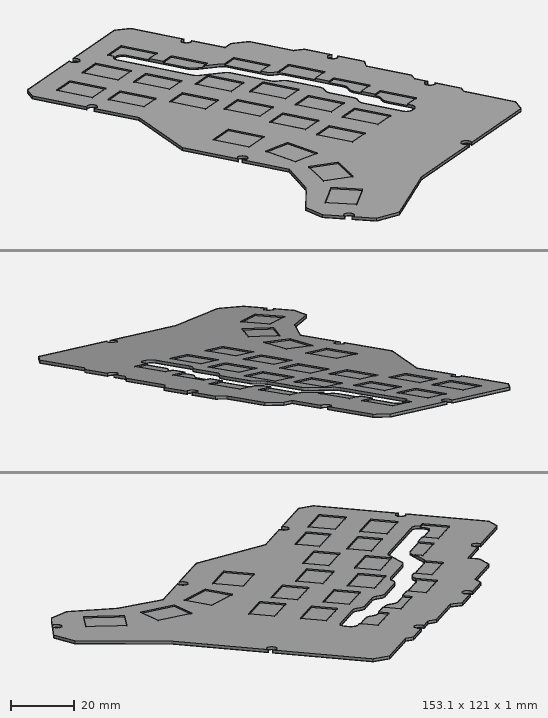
import cadquery as cq

thickness = 1.0
pocket_depth = 0.5

plate_right = 145.0
corner = 3.8
left_block_bottom = 44.9
left_block_top = 110.2
left_block_right = 37.8
ring_finger_top = 118.3
middle_finger_top = 121.0
index_finger_top = 117.7
inner_top = 115.6
right_top = 113.6
upper_corner = 4.3
palm_edge = 29.0
thumb_tip_x = 153.1

outline = [
    (0, left_block_bottom + corner),
    (0, left_block_top - corner),
    (corner, left_block_top),
    (left_block_right, left_block_top),
    (left_block_right, ring_finger_top - upper_corner),
    (left_block_right + upper_corner, ring_finger_top),
    (58.0, ring_finger_top),
    (60.6, middle_finger_top),
    (82.2, middle_finger_top),
    (84.7, index_finger_top),
    (100.9, index_finger_top),
    (103.2, inner_top),
    (120.0, inner_top),
    (122.0, right_top),
    (plate_right - upper_corner, right_top),
    (plate_right, right_top - upper_corner),
    (plate_right, 43.2),
    (thumb_tip_x, 13.6),
    (149.3, 5.5),
    (132.7, 0),
    (125.0, 2.9),
    (117.4, 17.5),
    (105.0, palm_edge),
    (66.6, palm_edge),
    (42.3, left_block_bottom),
    (corner, left_block_bottom),
]

notch_radius = 1.7
notch_centers = [
    (1.2, 77.8),
    (24.3, 109.3),
    (71.5, 119.5),
    (109.3, 114.5),
    (143.5, 75.6),
    (140.2, 3.8),
    (87.4, 30.5),
    (24.8, 46.0),
]

slot_left = 10.5
slot_right = 115.3
slot_width = 5.8
slot_end_radius = 2.3
slot_bend_radius = 3.0
slot_levels = [84.7, 92.2, 94.9, 92.2, 89.5]
lower_step_centers = [44.9, 66.5, 82.8, 96.3]
upper_step_centers = [40.3, 61.8, 88.2, 101.5]

key_width = 13.0
first_column_x = 14.7
column_pitch = 18.0
row_pitch = 17.0
row_count = 3
columns = [
    (95.8, 9.0),
    (95.8, 8.1),
    (104.0, 8.5),
    (107.2, 9.0),
    (104.0, 8.7),
    (101.5, 8.5),
]

thumb_key_height = 10.1
thumb_keys = [
    (78.4, 44.5, 0),
    (98.7, 42.1, -15),
    (117.5, 33.5, -40),
    (131.0, 17.3, -70),
]


def slot_edge(step_centers, rise):
    """Corner points of one long slot edge, left to right, raised above the lower levels."""
    points = [(slot_left, slot_levels[0] + rise)]
    for center, before, after in zip(step_centers, slot_levels, slot_levels[1:]):
        half_run = abs(after - before) / 2
        points.append((center - half_run, before + rise))
        points.append((center + half_run, after + rise))
    points.append((slot_right, slot_levels[-1] + rise))
    return points


def slot_cutter():
    points = slot_edge(lower_step_centers, 0) + slot_edge(upper_step_centers, slot_width)[::-1]
    cutter = cq.Workplane("XY").polyline(points).close().extrude(thickness)
    cutter = cutter.edges("|Z exc (<X or >X)").fillet(slot_bend_radius)
    return cutter.edges("|Z and (<X or >X)").fillet(slot_end_radius)


def key_pocket(x, y, height, angle=0):
    pocket = cq.Workplane("XY").box(key_width, height, pocket_depth, centered=(True, True, False))
    return pocket.rotate((0, 0, 0), (0, 0, 1), angle).translate((x, y, thickness - pocket_depth))


result = cq.Workplane("XY").polyline(outline).close().extrude(thickness)
result = result.cut(cq.Workplane("XY").pushPoints(notch_centers).circle(notch_radius).extrude(thickness))

for column, (top, height) in enumerate(columns):
    for row in range(row_count):
        key_x = first_column_x + column * column_pitch
        key_y = top - height / 2 - row * row_pitch
        result = result.cut(key_pocket(key_x, key_y, height))

for x, y, angle in thumb_keys:
    result = result.cut(key_pocket(x, y, thumb_key_height, angle))

result = result.cut(slot_cutter())